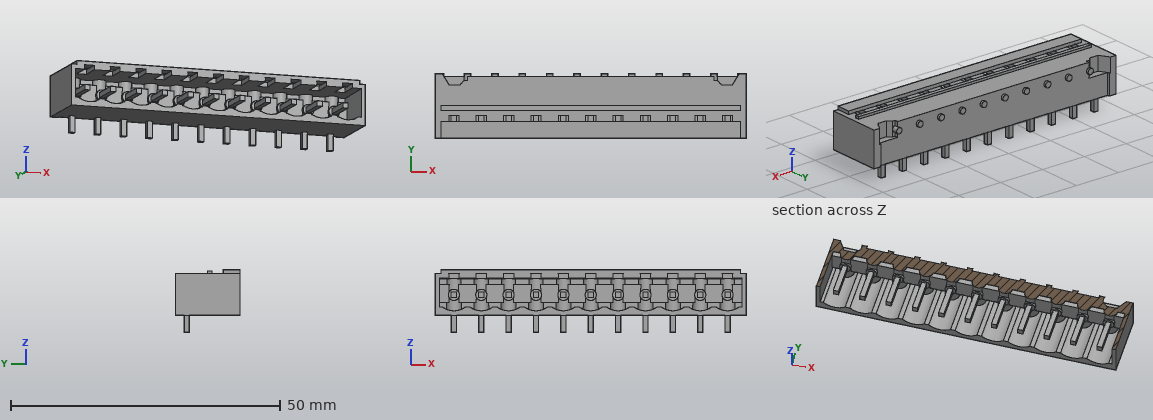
import math

import cadquery as cq

length = 57.78
depth = 12.0
body_height = 7.8
leg_drop = 3.13
lip_top = 8.5

pin_count = 11
pitch = 5.08
pin_axis_z = 3.83
pin_size = 1.0
pin_tip_y = 1.1
leg_y = 9.9
pin_xs = [(i - (pin_count - 1) / 2) * pitch for i in range(pin_count)]
stud_xs = [x + pitch / 2 for x in pin_xs[:-1]]

side_wall = 0.78
cavity_floor = 1.57
cavity_ceiling = 6.97
ceiling_drop = 0.17
cavity_depth = 9.0
scallop_radius = 3.5
scallop_bottom = 0.87

band_bottom = 2.44
band_top = 5.74
band_front_y = 8.0
column_base_radius = 1.42
column_draft_angle = 1.0
collar_radius = 1.04
collar_front_y = 7.4

top_inset = 1.08
lip_depth = 3.13
rib_front_y = 5.2
rib_width = 0.88
rib_height = 0.5

window_width = 1.9
window_rear_y = 4.2

rear_step = 0.5
rear_y = depth - rear_step
foot_width = 1.33
notch_front_y = 9.92
notch_step_y = 10.76
notch_floor_z = 4.6
notch_flat_start = 2.6
notch_flat_end = 4.6
notch_step_x = 5.4
stud_radius = 0.63
stud_axis_z = 6.1


def block(x0, x1, y0, y1, z0, z1):
    """Box given by its limits along the three axes."""
    return cq.Workplane("XY").box(x1 - x0, y1 - y0, z1 - z0, centered=False).translate((x0, y0, z0))


def centred_block(width, y0, y1, z0, z1, x=0.0):
    """Box centred on x."""
    return block(x - width / 2, x + width / 2, y0, y1, z0, z1)


def rod_along_y(radius, x, z, y0, y1):
    """Round rod parallel to Y."""
    return cq.Workplane("XZ", origin=(x, y0, z)).circle(radius).extrude(y0 - y1)


def make_shell():
    """Housing block with the lip and the rib on its roof."""
    top_width = length - 2 * top_inset
    shell = centred_block(length, 0, depth, 0, body_height)
    shell = shell.union(centred_block(top_width, 0, lip_depth, cavity_ceiling, lip_top))
    rib_rear_y = rib_front_y + rib_width
    rib = centred_block(top_width, rib_front_y, rib_rear_y, cavity_ceiling, body_height + rib_height)
    return shell.union(rib)


def make_cavity():
    """Front cavity with a scalloped floor, less the band and columns left standing at its rear."""
    inner_length = length - 2 * side_wall
    profile = [
        (0, cavity_floor),
        (cavity_depth, cavity_floor),
        (cavity_depth, cavity_ceiling - ceiling_drop),
        (0, cavity_ceiling),
    ]
    prism = cq.Workplane("YZ", origin=(-inner_length / 2, 0, 0)).polyline(profile).close()
    cavity = prism.extrude(inner_length)
    scallop_limits = centred_block(inner_length, 0, cavity_depth, 0, cavity_floor)
    scallop_axis_z = scallop_bottom + scallop_radius
    for x in pin_xs:
        scallop = rod_along_y(scallop_radius, x, scallop_axis_z, 0, cavity_depth)
        cavity = cavity.union(scallop.intersect(scallop_limits))
    cavity = cavity.cut(centred_block(length, band_front_y, cavity_depth, band_bottom, band_top))
    column_top_radius = column_base_radius - body_height * math.tan(math.radians(column_draft_angle))
    for x in pin_xs:
        base = cq.Vector(x, cavity_depth, 0)
        cavity = cavity.cut(cq.Solid.makeCone(column_base_radius, column_top_radius, body_height, base))
    return cavity


def make_windows():
    """Slots from the front through the roof, one over each pin."""
    windows = cq.Workplane("XY")
    for x in pin_xs:
        windows = windows.union(
            centred_block(window_width, 0, window_rear_y, pin_axis_z + pin_size, body_height, x)
        )
    return windows


def make_rear_notch():
    """Notch beside the left foot, with a sloping flank towards the foot and a stepped one opposite."""
    left = -length / 2
    outline = [
        (left + foot_width, depth),
        (left + notch_flat_start, notch_front_y),
        (left + notch_flat_end, notch_front_y),
        (left + notch_step_x, notch_step_y),
        (stud_xs[0], notch_step_y),
        (stud_xs[0], depth),
    ]
    height = body_height - notch_floor_z
    return cq.Workplane("XY", origin=(0, 0, notch_floor_z)).polyline(outline).close().extrude(height)


def shape_rear(housing):
    """Step the rear face back between the feet, cut both notches and add the studs."""
    foot_flank = (notch_flat_start - foot_width) * rear_step / (depth - notch_front_y)
    step_width = length - 2 * (foot_width + foot_flank)
    housing = housing.cut(centred_block(step_width, rear_y, depth, 0, body_height))
    notch = make_rear_notch()
    housing = housing.cut(notch).cut(notch.mirror("YZ"))
    for x in stud_xs:
        housing = housing.union(rod_along_y(stud_radius, x, stud_axis_z, notch_front_y, depth))
    return housing


def make_pin(x):
    """Square pin bent down into a solder leg, with its round collar."""
    half = pin_size / 2
    contact = centred_block(pin_size, pin_tip_y, leg_y + half, pin_axis_z - half, pin_axis_z + half, x)
    leg = centred_block(pin_size, leg_y - half, leg_y + half, -leg_drop, pin_axis_z + half, x)
    collar = rod_along_y(collar_radius, x, pin_axis_z, collar_front_y, cavity_depth)
    return contact.union(leg).union(collar)


housing = make_shell().cut(make_cavity()).cut(make_windows())
housing = shape_rear(housing)
for pin_x in pin_xs:
    housing = housing.union(make_pin(pin_x))
result = housing